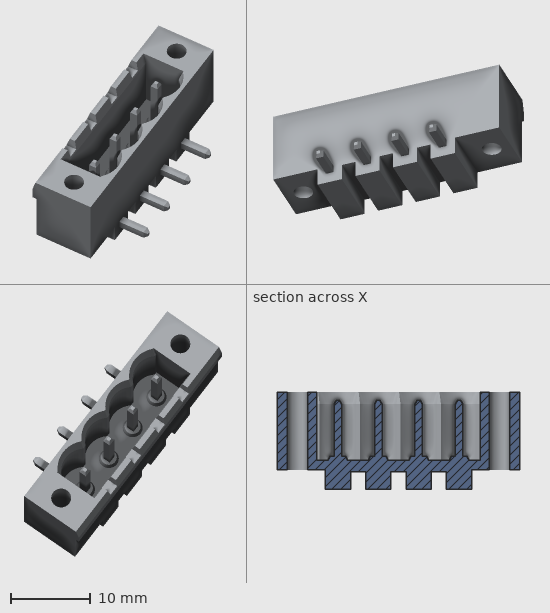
import cadquery as cq


pole_count = 4
pitch = 5.08
pole_positions = [(i - (pole_count - 1) / 2) * pitch for i in range(pole_count)]
flange_positions = [pole_positions[0] - pitch, pole_positions[-1] + pitch]

length = (pole_count + 2) * pitch
total_height = 12.2
total_depth = 12.5
body_height = 9.8
body_back = -4.0
body_front = 3.9
lip_overhang = 0.6
lip_height = 3.0
lip_slope_height = 1.5
lip_slope_width = 0.45
lip_back = body_back - lip_overhang
body_bottom = total_height - body_height

foot_width = 3.25
web_thickness = 0.2

pocket_length = 20.5
pocket_depth = 8.5
pocket_floor = total_height - pocket_depth
pocket_back = -3.0
pocket_front = 1.94
bay_radius = 3.0
bay_flare_radius = 3.65
bay_flare_shift = 0.25
lead_in_depth = 1.5
lead_in_back = 0.4
lead_in_front = 0.5

notch_depth = 1.2
notch_top_width = 1.8
notch_bottom_width = 1.4

pin_size = 1.0
tip_length = 0.5
tip_size = 0.45
pin_recess = 1.0
pin_top = total_height - pin_recess
tail_top = body_bottom
tail_axis = tail_top - pin_size / 2
tail_end = lip_back + total_depth
collar_base_diameter = 2.5
collar_top_diameter = 2.0
collar_height = 0.5

insert_size = 4.0
screw_hole_diameter = 2.5


def make_housing():
    """Side profile with the overhanging, sloped back lip."""
    profile = [
        (body_back, body_bottom),
        (body_front, body_bottom),
        (body_front, total_height),
        (lip_back + lip_slope_width, total_height),
        (lip_back, total_height - lip_slope_height),
        (lip_back, total_height - lip_height),
        (body_back, total_height - lip_height),
    ]
    return cq.Workplane("XZ").polyline(profile).close().extrude(length / 2, both=True)


def make_feet():
    """Full-depth feet and the web that joins them."""
    depth = body_front - body_back
    center_x = (body_front + body_back) / 2
    web_length = pole_positions[-1] - pole_positions[0]
    feet = (
        cq.Workplane("XY", origin=(center_x, 0, body_bottom - web_thickness))
        .box(depth, web_length, web_thickness, centered=(True, True, False))
    )
    for y in pole_positions:
        foot = (
            cq.Workplane("XY", origin=(center_x, y, 0))
            .box(depth, foot_width, body_bottom, centered=(True, True, False))
        )
        feet = feet.union(foot)
    return feet


def make_pocket():
    """Pocket volume: a flared trough plus one round flared bay per contact."""
    flare_bottom = total_height - lead_in_depth
    profile = [
        (pocket_back, pocket_floor),
        (pocket_front, pocket_floor),
        (pocket_front, flare_bottom),
        (pocket_front + lead_in_front, total_height),
        (pocket_back - lead_in_back, total_height),
        (pocket_back, flare_bottom),
    ]
    pocket = cq.Workplane("XZ").polyline(profile).close().extrude(pocket_length / 2, both=True)

    bay = (
        cq.Workplane("XY", origin=(0, 0, pocket_floor))
        .circle(bay_radius)
        .extrude(pocket_depth - lead_in_depth)
    )
    flare = (
        cq.Workplane("XY", origin=(0, 0, flare_bottom))
        .circle(bay_radius)
        .workplane(offset=lead_in_depth)
        .center(-bay_flare_shift, 0)
        .circle(bay_flare_radius)
        .loft(ruled=True)
    )
    bay = bay.union(flare)
    bay_limit = (
        cq.Workplane("XY", origin=(0, 0, pocket_floor))
        .box(body_front, pocket_length, pocket_depth, centered=(False, True, False))
    )
    for y in pole_positions:
        pocket = pocket.union(bay.translate((0, y, 0)).intersect(bay_limit))
    return pocket


def make_notch(y):
    """Tapered coding notch through the back wall above one contact."""
    profile = [
        (y - notch_bottom_width / 2, total_height - notch_depth),
        (y + notch_bottom_width / 2, total_height - notch_depth),
        (y + notch_top_width / 2, total_height),
        (y - notch_top_width / 2, total_height),
    ]
    return (
        cq.Workplane("YZ", origin=(lip_back, 0, 0))
        .polyline(profile).close()
        .extrude(pocket_back - lip_back)
    )


def make_pointed_bar(plane, bar_length):
    """Square bar along the plane normal, ending in a blunt pyramid tip."""
    shank_length = bar_length - tip_length
    shank = cq.Workplane(plane).rect(pin_size, pin_size).extrude(shank_length)
    tip = (
        cq.Workplane(plane).workplane(offset=shank_length)
        .rect(pin_size, pin_size)
        .workplane(offset=tip_length)
        .rect(tip_size, tip_size)
        .loft(ruled=True)
    )
    return shank.union(tip)


def make_contact(y):
    """Right-angle contact: upright pin, horizontal tail and root collar."""
    pin = make_pointed_bar(cq.Plane.XY(), pin_top - tail_axis).translate((0, y, tail_axis))
    tail = make_pointed_bar(cq.Plane.YZ(), tail_end).translate((0, y, tail_axis))
    collar_profile = [
        (0, 0),
        (collar_base_diameter / 2, 0),
        (collar_top_diameter / 2, collar_height),
        (0, collar_height),
    ]
    collar = (
        cq.Workplane("XZ").polyline(collar_profile).close()
        .revolve(360, (0, 0), (0, 1))
        .translate((0, y, pocket_floor))
    )
    return pin.union(tail).union(collar)


def add_screw_insert(body, y):
    """Flush square insert with a through hole; its outline stays as an edge on the flange."""
    base = cq.Workplane("XY", origin=(0, y, body_bottom))
    insert = base.rect(insert_size, insert_size).extrude(body_height)
    hole = base.circle(screw_hole_diameter / 2).extrude(body_height)
    return body.union(insert, clean=False).cut(hole, clean=False)


result = make_housing().union(make_feet()).cut(make_pocket())
for pole_y in pole_positions:
    result = result.cut(make_notch(pole_y))
for pole_y in pole_positions:
    result = result.union(make_contact(pole_y))
for flange_y in flange_positions:
    result = add_screw_insert(result, flange_y)